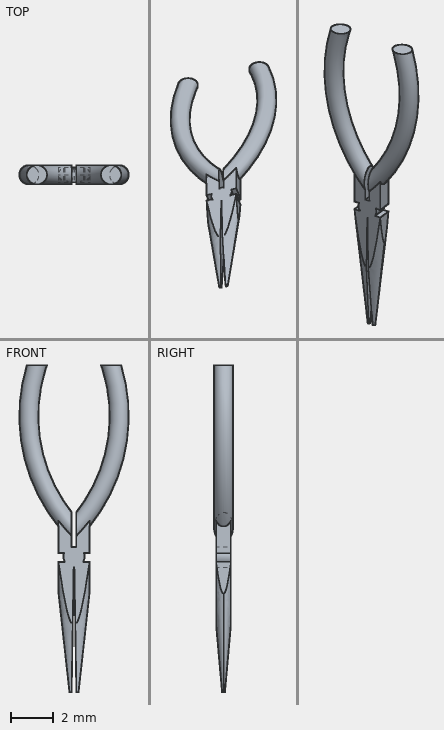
import cadquery as cq


OVERALL_WIDTH = 5.12
TOTAL_HEIGHT = 15.28

GRIP_DIAMETER = 0.9
GRIP_BEND_RADIUS = 7.7
GRIP_WIDEST_Z = 12.9

BODY_WIDTH = 1.45
BODY_THICKNESS = 0.7
BODY_TOP_Z = 8.1

HANDLE_SLOT_WIDTH = 0.21
HANDLE_SLOT_BOTTOM_Z = 6.8

NOTCH_BOTTOM_Z = 6.1
NOTCH_TOP_Z = 6.5
PIVOT_Z = 6.35
PIVOT_RADIUS = 0.5

TIP_HALF_WIDTH = 0.215
TIP_HALF_THICKNESS = 0.08
ROOT_HALF_WIDTH = 0.89
ROOT_HALF_THICKNESS = 0.605
JAW_ROOT_Z = NOTCH_BOTTOM_Z
OUTWARD_ANGLE = 180

JAW_GAP_TOP_Z = 5.84
JAW_GAP_TOP_WIDTH = 0.02
JAW_GAP_TIP_WIDTH = 0.21


def box(x_min, x_max, z_min, z_max, thickness):
    """Block between the given X and Z limits, centred on Y = 0."""
    block = cq.Workplane("XY").box(x_max - x_min, thickness, z_max - z_min, centered=(False, True, False))
    return block.translate((x_min, 0, z_min))


def left_handle():
    """Bent bar, cut flat at its top and at the slot."""
    axis_x = GRIP_DIAMETER / 2 - OVERALL_WIDTH / 2
    bend_x = axis_x + GRIP_BEND_RADIUS
    ring = cq.Workplane("XY").add(
        cq.Solid.makeTorus(
            GRIP_BEND_RADIUS, GRIP_DIAMETER / 2, cq.Vector(bend_x, 0, GRIP_WIDEST_Z), cq.Vector(0, 1, 0)
        )
    )
    keep = box(-OVERALL_WIDTH, -HANDLE_SLOT_WIDTH / 2, HANDLE_SLOT_BOTTOM_Z, TOTAL_HEIGHT, OVERALL_WIDTH)
    return ring.intersect(keep)


def left_body():
    """Left half of the plate, with half of the handle slot and the side notch."""
    half_width = BODY_WIDTH / 2
    plate = box(-half_width, 0, JAW_ROOT_Z, BODY_TOP_Z, BODY_THICKNESS)
    slot = box(-HANDLE_SLOT_WIDTH / 2, 0, HANDLE_SLOT_BOTTOM_Z, BODY_TOP_Z, BODY_THICKNESS)
    pivot = (
        cq.Workplane("XZ")
        .center(0, PIVOT_Z)
        .circle(PIVOT_RADIUS)
        .extrude(BODY_THICKNESS / 2, both=True)
    )
    notch = box(-half_width, 0, NOTCH_BOTTOM_Z, NOTCH_TOP_Z, BODY_THICKNESS).cut(pivot)
    return plate.cut(slot).cut(notch)


def left_jaw():
    """Left half of the elliptical taper, limited to the plate and cut back by half of the gap."""
    taper = (
        cq.Workplane("XY")
        .ellipse(TIP_HALF_WIDTH, TIP_HALF_THICKNESS, rotation_angle=OUTWARD_ANGLE)
        .workplane(offset=JAW_ROOT_Z)
        .ellipse(ROOT_HALF_WIDTH, ROOT_HALF_THICKNESS, rotation_angle=OUTWARD_ANGLE)
        .loft(ruled=True)
    )
    plate = box(-BODY_WIDTH / 2, 0, 0, JAW_ROOT_Z, BODY_THICKNESS)
    gap = (
        cq.Workplane("XZ")
        .polyline([
            (0, 0),
            (-JAW_GAP_TIP_WIDTH / 2, 0),
            (-JAW_GAP_TOP_WIDTH / 2, JAW_GAP_TOP_Z),
            (0, JAW_GAP_TOP_Z),
        ])
        .close()
        .extrude(BODY_THICKNESS, both=True)
    )
    return taper.intersect(plate).cut(gap)


left_half = left_body().union(left_handle()).union(left_jaw())
result = left_half.union(left_half.mirror("YZ"))